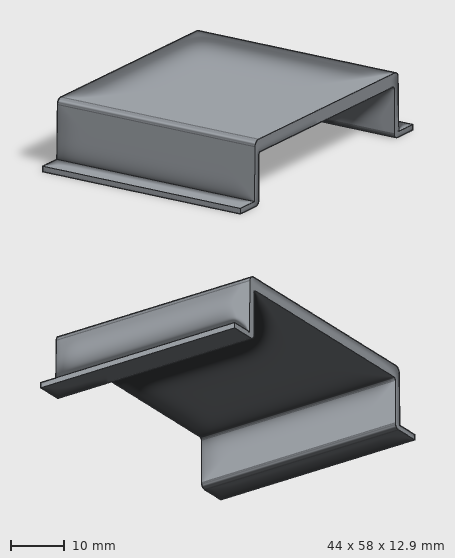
import cadquery as cq

length_x = 44.0
width_y = 58
height = 12.95

roof_thickness = 2.6
flange_thickness = 1.1
inner_half_width = 22.75
wall_top_half_width = 24.0
wall_foot_half_width = 24.25

roof_edge_radius = 1.15
inner_corner_radius = 0.5
foot_bend_radius = 1.05

half_width = width_y / 2
ceiling = height - roof_thickness


def standing_box(half_span, top):
    """Box standing on the base plane, centred in plan."""
    return cq.Workplane("XY").box(length_x, 2 * half_span, top, centered=(True, True, False))


body = (
    cq.Workplane("YZ")
    .polyline([
        (-wall_foot_half_width, flange_thickness),
        (wall_foot_half_width, flange_thickness),
        (wall_top_half_width, height),
        (-wall_top_half_width, height),
    ])
    .close()
    .extrude(length_x / 2, both=True)
    .edges("|X and >Z")
    .fillet(roof_edge_radius)
)

base = standing_box(half_width, flange_thickness)

channel = standing_box(inner_half_width, ceiling).edges("|X and >Z").fillet(inner_corner_radius)

result = (
    body.union(base)
    .cut(channel)
    .edges(cq.selectors.BoxSelector(
        (-length_x, -inner_half_width - roof_edge_radius, -flange_thickness / 2),
        (length_x, inner_half_width + roof_edge_radius, flange_thickness / 2),
    ))
    .edges("|X")
    .fillet(foot_bend_radius)
)